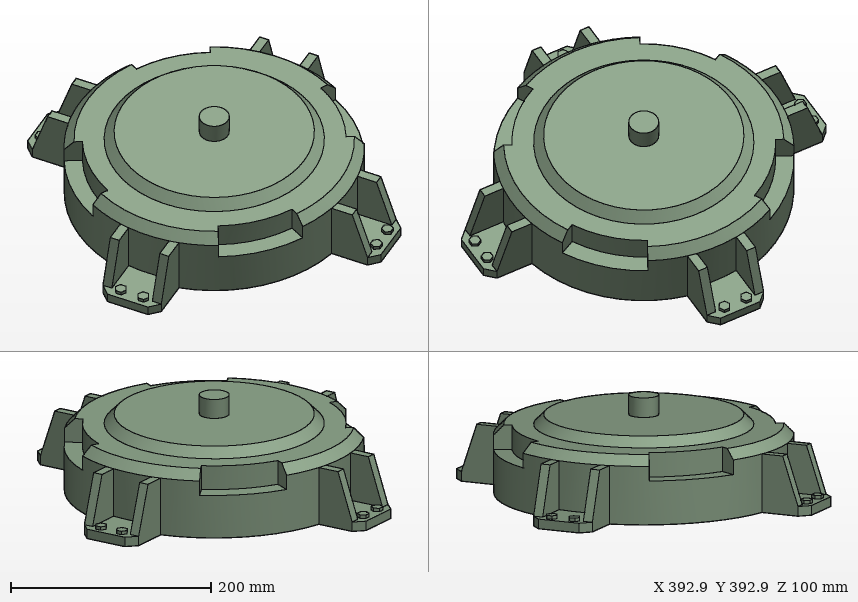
import cadquery as cq
import math

body_radius = 150.0
body_height = 70.0
body_chamfer = 10.0

cover_radius = 110.0
cover_height = 10.0
cover_chamfer = 10.0
shaft_radius = 15.0
total_height = 100.0

notch_offset = 45
notch_inner_radius = 131.75
notch_floor = 45.0
notch_span = 34.4
notch_overshoot = 10.0

quarter_turns = [0, 90, 180, 270]
foot_width = 65.0
foot_reach = 50.0
plate_thickness = 10.0
plate_chamfer = 10.0
rib_thickness = 10.0
rib_height = body_height - body_chamfer
rib_slope_run = 17.0

bolt_across_corners = 12.0
bolt_height = 3.5
bolt_spacing = 25.0
bolt_end_distance = 10.0

half_foot_width = foot_width / 2
foot_root = math.sqrt(body_radius**2 - half_foot_width**2)
foot_end = foot_root + foot_reach
embed_depth = 10.0
foot_start = foot_root - embed_depth
rib_foot_end = foot_end - plate_chamfer


def make_body():
    """Housing, cover and shaft stacked on the Z axis, with bevelled top edges."""
    housing = (
        cq.Workplane("XY")
        .circle(body_radius)
        .extrude(body_height)
        .faces(">Z")
        .chamfer(body_chamfer)
    )
    cover_top = body_height + cover_height
    cover = (
        cq.Workplane("XZ")
        .moveTo(0, body_height)
        .lineTo(cover_radius, body_height)
        .lineTo(cover_radius - cover_chamfer, cover_top)
        .lineTo(0, cover_top)
        .close()
        .revolve(360, (0, 0, 0), (0, 1, 0))
    )
    shaft = (
        cq.Workplane("XY")
        .workplane(offset=cover_top)
        .circle(shaft_radius)
        .extrude(total_height - cover_top)
    )
    return housing.union(cover).union(shaft)


def make_notch():
    """Ring sector with radial sides, centred on the +X axis, that cuts the rim."""
    outer_radius = body_radius + notch_overshoot
    half_span = math.radians(notch_span / 2)
    cos_side = math.cos(half_span)
    sin_side = math.sin(half_span)
    return (
        cq.Workplane("XY")
        .workplane(offset=notch_floor)
        .moveTo(notch_inner_radius * cos_side, -notch_inner_radius * sin_side)
        .lineTo(outer_radius * cos_side, -outer_radius * sin_side)
        .threePointArc((outer_radius, 0), (outer_radius * cos_side, outer_radius * sin_side))
        .lineTo(notch_inner_radius * cos_side, notch_inner_radius * sin_side)
        .threePointArc(
            (notch_inner_radius, 0),
            (notch_inner_radius * cos_side, -notch_inner_radius * sin_side),
        )
        .close()
        .extrude(body_height - notch_floor)
    )


def make_rib(y_start):
    """Upright side rib with a sloped outer edge, starting at the given Y."""
    return (
        cq.Workplane("XZ", origin=(0, y_start, 0))
        .moveTo(foot_start, 0)
        .lineTo(rib_foot_end, 0)
        .lineTo(rib_foot_end, plate_thickness)
        .lineTo(rib_foot_end - rib_slope_run, rib_height)
        .lineTo(foot_start, rib_height)
        .close()
        .extrude(-rib_thickness)
    )


def make_foot():
    """Foot along +X: plate with cut corners, two ribs and two bolt heads."""
    plate = (
        cq.Workplane("XY")
        .box(foot_end - foot_start, foot_width, plate_thickness, centered=(False, True, False))
        .translate((foot_start, 0, 0))
        .edges("|Z and >X")
        .chamfer(plate_chamfer)
    )
    left_rib = make_rib(half_foot_width - rib_thickness)
    right_rib = make_rib(-half_foot_width)
    foot = plate.union(left_rib).union(right_rib)
    for side in (-1, 1):
        bolt = (
            cq.Workplane("XY")
            .polygon(6, bolt_across_corners)
            .extrude(bolt_height)
            .rotate((0, 0, 0), (0, 0, 1), 90)
            .translate((foot_end - bolt_end_distance, side * bolt_spacing / 2, plate_thickness))
        )
        foot = foot.union(bolt)
    return foot


def around_axis(shape, angle):
    """Turn a shape about the Z axis."""
    return shape.rotate((0, 0, 0), (0, 0, 1), angle)


result = make_body()
foot = make_foot()
notch = make_notch()
for turn in quarter_turns:
    result = result.union(around_axis(foot, turn))
    result = result.cut(around_axis(notch, turn + notch_offset))